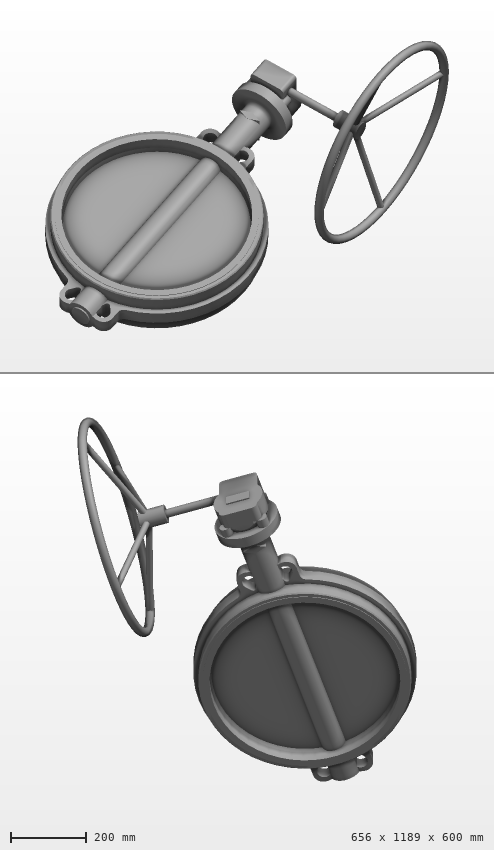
import cadquery as cq
import math

band_radius = 295.0
band_half_width = 20.0
body_radius = 281.5
body_half_width = 64.0
body_chamfer = 3.0
seat_rim_radius = 270.0
seat_half_width = 66.0
bore_radius = 252.0
seat_land_start = 30.0
disc_radius = 248.0
disc_half_thickness = 17.0
disc_hub_radius = 37.0

neck_radius = 42.0
boss_end = 348.0
bottom_plug_radius = 28.0
bottom_plug_height = 4.0
flange_radius = 87.5
flange_thickness = 30.0
flange_top = 500.0
flange_bottom = flange_top - flange_thickness
neck_fillet = 12.0
pad_y = 426.5
pad_half_length = 31.5
pad_half_width = 12.5
pad_face_height = neck_radius + 0.5

lug_half_width = 82.5
lug_end = 350.0
lug_corner_radius = 28.0
lug_root_fillet = 18.0
lug_slope_inner_x = 41.0
lug_slope_outer_x = 48.0
lug_hole_x = 50.5
lug_hole_y = 318.0
lug_hole_radius = 19.0
lug_hole_tip_x = 47.0
lug_hole_tip_y = 296.0
lug_hole_tip_radius = 8.0
lug_hole_inner_x = 36.5

gear_top = 568.0
gear_radius = 68.0
gear_bottom = 518.0
gear_cone_radius = 58.0
block_half_width = 52.5
block_bottom = 506.5
block_lower_bottom = 525.0
block_z_min = -62.0
block_z_max = 102.0
block_lower_fillet = 16.0
block_upper_fillet = 11.0
foot_bolt_radius = 70.0
foot_radius = 16.0
foot_count = 4
foot_top = block_lower_bottom
cap_length = 64.0
cap_width = 32.0
cap_height = 4.0

wheel_y = 537.0
wheel_z = 68.0
wheel_outer_radius = 300.0
wheel_tube_radius = 12.5
wheel_right = 360.96
wheel_ring_radius = wheel_outer_radius - wheel_tube_radius
wheel_x = wheel_right - wheel_tube_radius
wheel_hub_radius = 25.0
wheel_hub_start = 209.5
wheel_hub_end = 281.0
drive_shaft_radius = 11.5
spoke_radius = 9.0
spoke_count = 4
spoke_root_x = 257.5


def cylinder_y(radius, y_start, y_end, x=0.0, z=0.0):
    direction = cq.Vector(0, 1, 0)
    start = cq.Vector(x, y_start, z)
    return cq.Workplane(obj=cq.Solid.makeCylinder(radius, y_end - y_start, start, direction))


def disc_z(radius, half_height):
    return cq.Workplane("XY").circle(radius).extrude(half_height, both=True)


def box_between(x_min, x_max, y_min, y_max, z_min, z_max):
    size = (x_max - x_min, y_max - y_min, z_max - z_min)
    return cq.Workplane("XY", origin=(x_min, y_min, z_min)).box(*size, centered=False)


def mirrored_pairs(quarter):
    """The given +X, +Y shape together with its copies in the other three quadrants."""
    half = quarter.union(quarter.mirror("YZ"))
    return half.union(half.mirror("XZ"))


def band_with_lugs():
    """Raised band with rounded lugs at both ends of the stem, blended into the band."""
    quarter_outline = [
        (0, 0),
        (0, boss_end),
        (lug_slope_inner_x, boss_end),
        (lug_slope_outer_x, lug_end),
        (lug_half_width, lug_end),
        (lug_half_width, 0),
    ]
    quarter = cq.Workplane("XY").polyline(quarter_outline).close().extrude(band_half_width, both=True)
    quarter = quarter.edges("|Z and >X and >Y").fillet(lug_corner_radius)
    band = disc_z(band_radius, band_half_width).union(mirrored_pairs(quarter))

    root_y = math.sqrt(band_radius**2 - lug_half_width**2)
    for side_x in (-lug_half_width, lug_half_width):
        for side_y in (-root_y, root_y):
            root = cq.selectors.BoxSelector(
                (side_x - 1, side_y - 1, -band_half_width),
                (side_x + 1, side_y + 1, band_half_width),
            )
            band = band.edges("|Z").edges(root).fillet(lug_root_fillet)
    return band


def lug_hole():
    """Teardrop hole in the +X, +Y lug: hull of two circles, cut flat beside the neck."""
    dx = lug_hole_tip_x - lug_hole_x
    dy = lug_hole_tip_y - lug_hole_y
    centre_angle = math.atan2(dy, dx)
    tangent_angle = math.acos((lug_hole_radius - lug_hole_tip_radius) / math.hypot(dx, dy))

    def large(angle):
        return (
            lug_hole_x + lug_hole_radius * math.cos(angle),
            lug_hole_y + lug_hole_radius * math.sin(angle),
        )

    def tip(angle):
        return (
            lug_hole_tip_x + lug_hole_tip_radius * math.cos(angle),
            lug_hole_tip_y + lug_hole_tip_radius * math.sin(angle),
        )

    first = centre_angle + tangent_angle
    second = centre_angle - tangent_angle
    teardrop = (
        cq.Workplane("XY")
        .moveTo(*large(first))
        .threePointArc(large(centre_angle + math.pi), large(second))
        .lineTo(*tip(second))
        .threePointArc(tip(centre_angle), tip(first))
        .close()
        .extrude(neck_radius, both=True)
    )
    beside_neck = box_between(lug_hole_inner_x, lug_half_width, 0, lug_end, -neck_radius, neck_radius)
    return teardrop.intersect(beside_neck)


def bore():
    """Through bore that narrows to the disc edge at mid height."""
    profile = [
        (0, -seat_half_width),
        (bore_radius, -seat_half_width),
        (bore_radius, -seat_land_start),
        (disc_radius, -disc_half_thickness),
        (disc_radius, disc_half_thickness),
        (bore_radius, seat_land_start),
        (bore_radius, seat_half_width),
        (0, seat_half_width),
    ]
    return cq.Workplane("XZ").polyline(profile).close().revolve(360, (0, 0, 0), (0, 1, 0))


def neck_pads():
    """Diamond pads with flat faces on the +Z and -Z sides of the neck."""
    diamond = [
        (-pad_half_length, pad_y),
        (0, pad_y - pad_half_width),
        (pad_half_length, pad_y),
        (0, pad_y + pad_half_width),
    ]
    return cq.Workplane("XY").polyline(diamond).close().extrude(pad_face_height, both=True)


def make_valve():
    neck = cylinder_y(neck_radius, -boss_end, flange_bottom)
    neck = neck.union(cylinder_y(flange_radius, flange_bottom, flange_top))
    neck_root = cq.selectors.BoxSelector(
        (-neck_radius - 1, flange_bottom - 1, -neck_radius - 1),
        (neck_radius + 1, flange_bottom + 1, neck_radius + 1),
        boundingbox=True,
    )
    neck = neck.edges(neck_root).fillet(neck_fillet)
    neck = neck.union(neck_pads())

    valve = disc_z(body_radius, body_half_width).faces("<Z or >Z").chamfer(body_chamfer)
    valve = valve.union(disc_z(seat_rim_radius, seat_half_width))
    valve = valve.union(band_with_lugs()).union(neck)
    valve = valve.cut(mirrored_pairs(lug_hole()))

    valve = valve.cut(bore())
    valve = valve.union(disc_z(disc_radius, disc_half_thickness))
    disc_hub = cylinder_y(disc_hub_radius, -seat_rim_radius, seat_rim_radius)
    valve = valve.union(disc_hub)
    return valve.union(cylinder_y(bottom_plug_radius, -boss_end - bottom_plug_height, -boss_end))


def gear_housing():
    """Round gear case tapering to the flange, with a square block for the worm and four feet."""
    profile = [
        (0, flange_top),
        (gear_cone_radius, flange_top),
        (gear_radius, gear_bottom),
        (gear_radius, gear_top),
        (0, gear_top),
    ]
    case = cq.Workplane("XY").polyline(profile).close().revolve(360, (0, 0, 0), (0, 1, 0))
    case = case.intersect(
        box_between(-gear_radius, gear_radius, flange_top, gear_top, block_z_min, block_z_max)
    )

    upper_block = box_between(-block_half_width, block_half_width, block_bottom, gear_top, 0, block_z_max)
    upper_block = upper_block.faces(">Z").edges("|Y").fillet(block_upper_fillet)
    lower_block = box_between(
        -block_half_width, block_half_width, block_lower_bottom, gear_top, block_z_min, 0
    )
    lower_block = lower_block.faces("<Z").edges("|Y").fillet(block_lower_fillet)
    housing = case.union(upper_block).union(lower_block)

    for index in range(foot_count):
        angle = math.radians(45 + 360 / foot_count * index)
        foot_x = foot_bolt_radius * math.cos(angle)
        foot_z = foot_bolt_radius * math.sin(angle)
        housing = housing.union(cylinder_y(foot_radius, flange_top, foot_top, foot_x, foot_z))

    cap = box_between(
        -cap_length / 2, cap_length / 2, gear_top, gear_top + cap_height, -cap_width / 2, cap_width / 2
    )
    return housing.union(cap)


def handwheel():
    """Drive shaft, hub, sloping spokes and round rim."""
    along_x = cq.Vector(1, 0, 0)

    def on_axis(x):
        return cq.Vector(x, wheel_y, wheel_z)

    shaft = cq.Solid.makeCylinder(drive_shaft_radius, wheel_hub_end, on_axis(0), along_x)
    hub_length = wheel_hub_end - wheel_hub_start
    hub = cq.Solid.makeCylinder(wheel_hub_radius, hub_length, on_axis(wheel_hub_start), along_x)
    wheel = cq.Workplane(obj=shaft).union(cq.Workplane(obj=hub))

    for index in range(spoke_count):
        angle = 2 * math.pi * index / spoke_count
        reach = cq.Vector(
            wheel_x - spoke_root_x,
            wheel_ring_radius * math.cos(angle),
            wheel_ring_radius * math.sin(angle),
        )
        spoke = cq.Solid.makeCylinder(spoke_radius, reach.Length, on_axis(spoke_root_x), reach)
        wheel = wheel.union(cq.Workplane(obj=spoke))

    half_rim = (
        cq.Workplane("XZ", origin=on_axis(wheel_x))
        .center(0, wheel_ring_radius)
        .circle(wheel_tube_radius)
        .revolve(180, (0, -wheel_ring_radius, 0), (1, -wheel_ring_radius, 0))
    )
    other_half_rim = half_rim.rotate(on_axis(0), on_axis(1), 180)
    return wheel.union(half_rim).union(other_half_rim)


def make_gear_operator():
    return gear_housing().union(handwheel())


valve = make_valve()
gear_operator = make_gear_operator()
result = cq.Compound.makeCompound([valve.val(), gear_operator.val()])